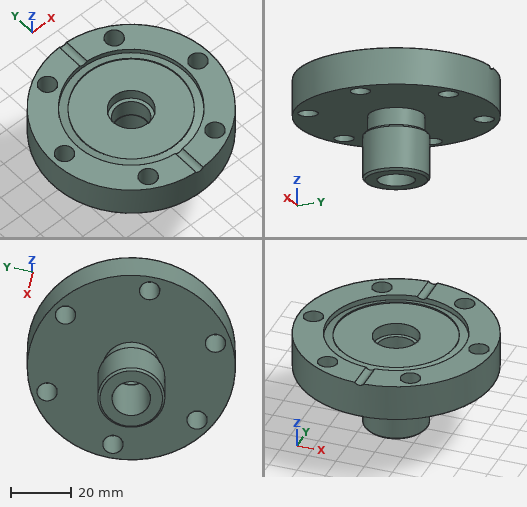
import cadquery as cq

flange_radius = 69.1 / 2
flange_thickness = 12.7
total_height = 34.95

recess_radius = 48.3 / 2
recess_depth = 1.9
knife_radius = 41.95 / 2
knife_depth = 0.75
floor_depth = 1.25

counterbore_radius = 15.9 / 2
counterbore_depth = floor_depth + 4.3
upper_bore_radius = 13.05 / 2
lower_bore_radius = 12.7 / 2

neck_radius = 19.0 / 2
barrel_radius = 22.25 / 2
barrel_top_depth = 18.9
barrel_chamfer = 0.75

bolt_count = 6
bolt_circle_radius = 58.7 / 2
bolt_hole_diameter = 6.7
groove_width = 3.2
groove_depth = 0.75


def make_body():
    """Revolve the whole stepped section, including recess and bore."""
    section = [
        (flange_radius, 0),
        (recess_radius, 0),
        (recess_radius, -recess_depth),
        (knife_radius, -knife_depth),
        (knife_radius, -floor_depth),
        (counterbore_radius, -floor_depth),
        (counterbore_radius, -counterbore_depth),
        (upper_bore_radius, -counterbore_depth),
        (upper_bore_radius, -flange_thickness),
        (lower_bore_radius, -flange_thickness),
        (lower_bore_radius, -total_height),
        (barrel_radius - barrel_chamfer, -total_height),
        (barrel_radius, -total_height + barrel_chamfer),
        (barrel_radius, -barrel_top_depth - barrel_chamfer),
        (barrel_radius - barrel_chamfer, -barrel_top_depth),
        (neck_radius, -barrel_top_depth),
        (neck_radius, -flange_thickness),
        (flange_radius, -flange_thickness),
    ]
    return cq.Workplane("XZ").polyline(section).close().revolve(360, (0, 0), (0, 1))


def make_bolt_holes():
    return (
        cq.Workplane("XY")
        .polarArray(bolt_circle_radius, 0, 360, bolt_count)
        .circle(bolt_hole_diameter / 2)
        .extrude(-flange_thickness)
    )


def make_groove():
    """Round-bottomed groove along Y; it stays above the recess floor."""
    groove_radius = (groove_width**2 / 4 + groove_depth**2) / (2 * groove_depth)
    return (
        cq.Workplane("XZ")
        .center(0, groove_radius - groove_depth)
        .circle(groove_radius)
        .extrude(flange_radius, both=True)
    )


result = make_body().cut(make_bolt_holes()).cut(make_groove())